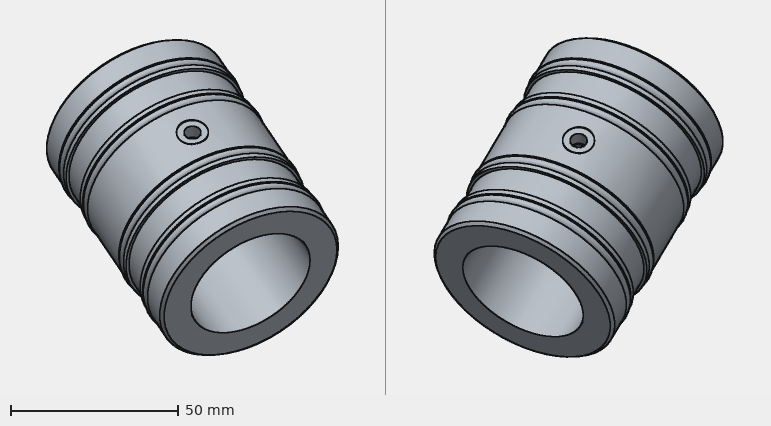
import cadquery as cq
import math

length = 76.2
outer_radius = 29.985
bore_radius = 20.0
end_chamfer = 1.0

channel_center = 19.65
channel_width = 9.3
channel_depth = 1.0

groove_width = 3.1
seal_center_offset = 7.85
seal_section_diameter = 3.05
seal_projection = 0.4
seal_section_radius = seal_section_diameter / 2
seal_center_radius = outer_radius + seal_projection - seal_section_radius
groove_floor_radius = seal_center_radius - seal_section_radius

spot_face_diameter = 9.5
spot_face_depth = 0.4
hole_diameter = 5.0
hole_depth = 5.0
pilot_diameter = 4.2
pilot_depth = 1.5
pilot_point_angle = 118.0

channel_positions = [-channel_center, channel_center]
seal_positions = [
    channel + side * seal_center_offset
    for channel in channel_positions
    for side in (-1, 1)
]


def tube(center_x, width, inner_radius, rim_radius):
    """Tube along X, centered on center_x."""
    return (
        cq.Workplane("YZ", origin=(center_x - width / 2, 0, 0))
        .circle(rim_radius)
        .circle(inner_radius)
        .extrude(width)
    )


def make_hole_cutter():
    """Spot face, wide hole and cone-ended pilot hole, revolved about the Z axis."""
    spot_radius = spot_face_diameter / 2
    hole_radius = hole_diameter / 2
    pilot_radius = pilot_diameter / 2
    spot_floor = outer_radius - spot_face_depth
    hole_floor = spot_floor - hole_depth
    cone_base = hole_floor - pilot_depth
    cone_tip = cone_base - pilot_radius / math.tan(math.radians(pilot_point_angle / 2))
    profile = [
        (0, cone_tip),
        (pilot_radius, cone_base),
        (pilot_radius, hole_floor),
        (hole_radius, hole_floor),
        (hole_radius, spot_floor),
        (spot_radius, spot_floor),
        (spot_radius, outer_radius),
        (0, outer_radius),
    ]
    return cq.Workplane("XZ").polyline(profile).close().revolve(360, (0, 0, 0), (0, 1, 0))


def make_sleeve():
    """Bored sleeve with chamfered rims, channels, seal grooves and the top hole."""
    body = (
        cq.Workplane("YZ", origin=(-length / 2, 0, 0))
        .circle(outer_radius)
        .extrude(length)
        .faces("<X or >X")
        .chamfer(end_chamfer)
    )
    body = body.cut(cq.Workplane("YZ", origin=(-length / 2, 0, 0)).circle(bore_radius).extrude(length))
    for channel in channel_positions:
        body = body.cut(tube(channel, channel_width, outer_radius - channel_depth, outer_radius))
    for seal in seal_positions:
        body = body.cut(tube(seal, groove_width, groove_floor_radius, outer_radius))
    return body.cut(make_hole_cutter())


def make_seal_ring(center_x):
    """Round-section ring about the X axis, resting on its groove floor."""
    return (
        cq.Workplane("XY")
        .center(center_x, seal_center_radius)
        .circle(seal_section_radius)
        .revolve(360, (0, -seal_center_radius, 0), (1, -seal_center_radius, 0))
    )


sleeve = make_sleeve()
seal_rings = [make_seal_ring(position) for position in seal_positions]

result = cq.Compound.makeCompound([sleeve.val(), *[ring.val() for ring in seal_rings]])